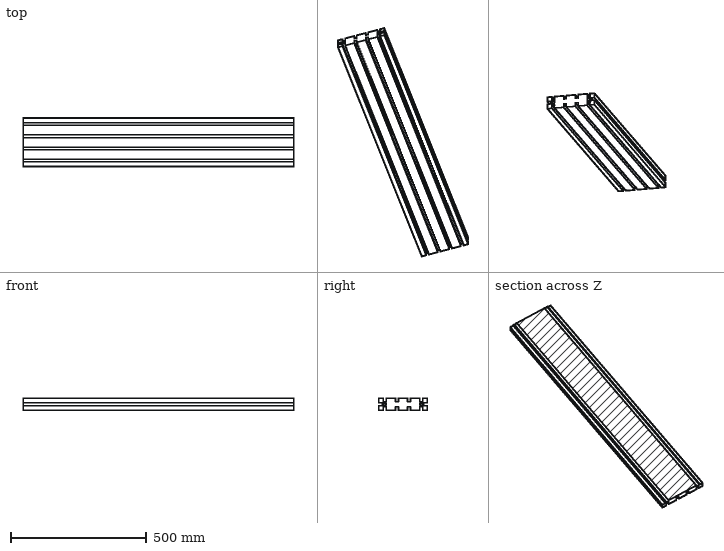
import cadquery as cq

length = 1000.0
module = 45.0
module_count = 4
width = module * module_count
height = module

groove_width = 10.0
groove_depth = 13.0

bore_diameter = 10.0
bore_offset = (module_count - 1) * module / 2


def bar_along_x(size_y, size_z, centre_y, centre_z):
    """Full-length rectangular bar with its section centred at (centre_y, centre_z)."""
    return cq.Workplane("XY").box(length, size_y, size_z).translate((0, centre_y, centre_z))


def cut_top_and_bottom_grooves(body):
    groove_z = (height - groove_depth) / 2
    for index in range(module_count):
        groove_y = (index - (module_count - 1) / 2) * module
        for side in (-1, 1):
            body = body.cut(bar_along_x(groove_width, groove_depth, groove_y, side * groove_z))
    return body


def cut_side_grooves(body):
    groove_y = (width - groove_depth) / 2
    for side in (-1, 1):
        body = body.cut(bar_along_x(groove_depth, groove_width, side * groove_y, 0))
    return body


def cut_core_bores(body):
    bores = (
        cq.Workplane("YZ")
        .pushPoints([(-bore_offset, 0), (bore_offset, 0)])
        .circle(bore_diameter / 2)
        .extrude(length / 2, both=True)
    )
    return body.cut(bores)


result = bar_along_x(width, height, 0, 0)
result = cut_top_and_bottom_grooves(result)
result = cut_side_grooves(result)
result = cut_core_bores(result)